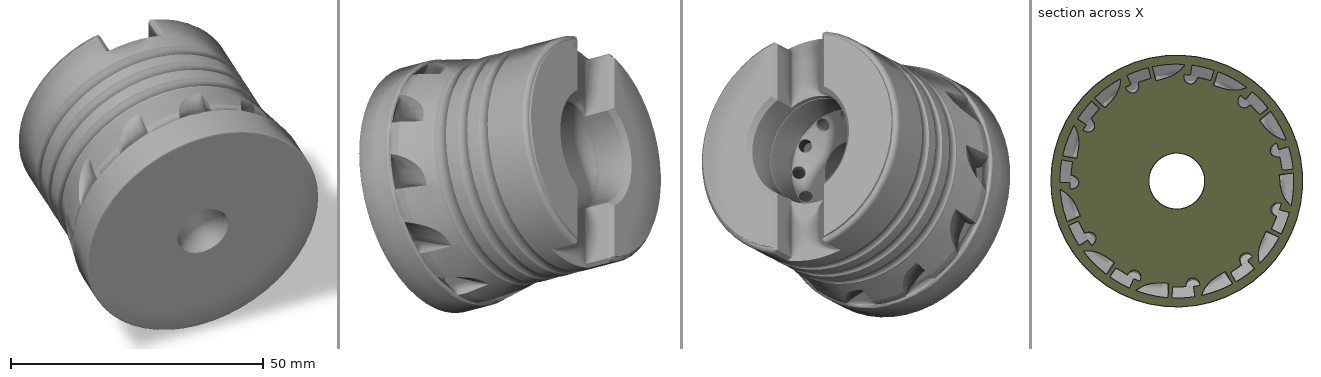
import cadquery as cq
import math


length = 40.0
flange_radius = 25.0
body_radius = 23.0
neck_radius = 24.5
flare_start = 23.05
flare_end = 30.65
flange_start = 32.65
flange_rim_fillet = 0.5
back_edge_fillet = 0.35

face_radius = 22.0
face_step = 0.5
face_fillet = body_radius - face_radius

groove_starts = (9.9, 14.9, 20.1)
groove_width = 2.6
groove_depth = 0.7

entry_radius = 11.1
entry_depth = 7.7
entry_chamfer = 1.0
bore_radius = 11.0
bore_depth = 15.6
through_radius = 5.5
seat_half_angle = 57.0

slot_half_width = 5.25
slot_depth = 6.3
slot_chamfer = 0.95

outlet_count = 11
pocket_angle = 6.0
pocket_start = 25.65
pocket_end = 35.5
pocket_floor_radius = 23.5
pocket_floor_width = 2.0
pocket_side_radius = 6.5
pocket_drop = 0.39
pocket_skew = 0.11

undercut_front = 31.9
undercut_floor_radius = pocket_floor_radius - pocket_drop * (undercut_front - pocket_start)
undercut_lip_radius = 24.35

feed_angle = 17.0
feed_radius_on_seat = 9.8
feed_diameter = 2.65

clearance = 2.5


def revolve(profile):
    """Turn a closed (x, radius) profile into a solid about the X axis."""
    return profile.close().revolve(360, (0, 0, 0), (1, 0, 0))


def repeat_around_axis(solid, first_angle):
    """Copies of a solid modelled on the -Y side, spread evenly about X."""
    copies = cq.Workplane()
    for index in range(outlet_count):
        angle = first_angle + index * 360 / outlet_count
        copies = copies.add(solid.rotate((0, 0, 0), (1, 0, 0), -angle))
    return copies.combine()


def make_body():
    bend = math.sqrt(0.5)
    profile = (
        cq.Workplane("XY")
        .lineTo(0, face_radius)
        .lineTo(face_step, face_radius)
        .threePointArc(
            (face_step + face_fillet * (1 - bend), face_radius + face_fillet * bend),
            (face_step + face_fillet, body_radius),
        )
    )
    for start in groove_starts:
        profile = (
            profile.lineTo(start, body_radius)
            .threePointArc(
                (start + groove_width / 2, body_radius - groove_depth),
                (start + groove_width, body_radius),
            )
        )
    profile = (
        profile.lineTo(flare_start, body_radius)
        .lineTo(flare_end, neck_radius)
        .lineTo(flange_start, neck_radius)
        .threePointArc(
            (
                flange_start + flange_rim_fillet * (1 - bend),
                flange_radius - flange_rim_fillet * (1 - bend),
            ),
            (flange_start + flange_rim_fillet, flange_radius),
        )
        .lineTo(length - back_edge_fillet, flange_radius)
        .threePointArc(
            (length - back_edge_fillet * (1 - bend), flange_radius - back_edge_fillet * (1 - bend)),
            (length, flange_radius - back_edge_fillet),
        )
        .lineTo(length, 0)
    )
    return revolve(profile)


def make_bore():
    seat_length = (bore_radius - through_radius) / math.tan(math.radians(seat_half_angle))
    return revolve(
        cq.Workplane("XY")
        .lineTo(0, entry_radius + entry_chamfer)
        .lineTo(entry_chamfer, entry_radius)
        .lineTo(entry_depth, entry_radius)
        .lineTo(entry_depth, bore_radius)
        .lineTo(bore_depth, bore_radius)
        .lineTo(bore_depth + seat_length, through_radius)
        .lineTo(length, through_radius)
        .lineTo(length, 0)
    )


def make_slot():
    """Slot along Z with chamfers on the face edges and on the outer edges of its walls."""
    chamfered_half_width = slot_half_width + slot_chamfer
    across = (
        cq.Workplane("XY")
        .moveTo(slot_depth, -slot_half_width)
        .lineTo(slot_depth, slot_half_width)
        .lineTo(slot_chamfer, slot_half_width)
        .lineTo(0, chamfered_half_width)
        .lineTo(0, -chamfered_half_width)
        .lineTo(slot_chamfer, -slot_half_width)
        .close()
        .extrude(flange_radius, both=True)
    )
    outer_corner = math.sqrt(body_radius**2 - chamfered_half_width**2)
    wall_top = outer_corner - slot_chamfer / math.sqrt(3)
    mouth = (
        cq.Workplane("YZ")
        .moveTo(-slot_half_width, wall_top)
        .lineTo(slot_half_width, wall_top)
        .lineTo(chamfered_half_width, outer_corner)
        .lineTo(chamfered_half_width, flange_radius)
        .lineTo(-chamfered_half_width, flange_radius)
        .lineTo(-chamfered_half_width, outer_corner)
        .close()
        .extrude(slot_depth)
    )
    return across.union(mouth).union(mouth.mirror("XY"))


def make_undercuts():
    """Sectors of a triangular ring running from each pocket wall to its feed hole."""
    sector = (
        cq.Workplane("XY")
        .moveTo(undercut_front, -undercut_floor_radius)
        .lineTo(flange_start, -undercut_lip_radius)
        .lineTo(pocket_end, -undercut_floor_radius)
        .close()
        .revolve(feed_angle - pocket_angle, (0, 0, 0), (-1, 0, 0))
    )
    return repeat_around_axis(sector.val(), pocket_angle)


def make_pockets():
    """Ramps with a radial wall, flat floor and rounded far side, roofed by a cone in the flange."""
    outer_y = -(flange_radius + 2 * clearance + pocket_side_radius)
    far_side = -(pocket_floor_width + pocket_side_radius)
    bend = math.sqrt(0.5)
    section = (
        cq.Workplane("YZ", origin=(pocket_start, 0, 0))
        .moveTo(outer_y, 0)
        .lineTo(-pocket_floor_radius, 0)
        .lineTo(-pocket_floor_radius, -pocket_floor_width)
        .threePointArc(
            (
                -(pocket_floor_radius + pocket_side_radius * (1 - bend)),
                -(pocket_floor_width + pocket_side_radius * bend),
            ),
            (-(pocket_floor_radius + pocket_side_radius), far_side),
        )
        .lineTo(outer_y, far_side)
        .close()
    )
    travel = pocket_end - pocket_start
    sweep = cq.Vector(travel, travel * pocket_drop, -travel * pocket_skew)
    ramp = cq.Workplane(cq.Solid.extrudeLinear(section.val(), [], sweep))
    room_below_flange = revolve(
        cq.Workplane("XY")
        .lineTo(0, -outer_y)
        .lineTo(flange_start, -outer_y)
        .lineTo(flange_start, undercut_lip_radius)
        .lineTo(pocket_end, undercut_floor_radius)
        .lineTo(pocket_end, 0)
    )
    return repeat_around_axis(ramp.intersect(room_below_flange).val(), pocket_angle)


def make_feed_holes():
    """Holes square to the conical seat, running outward into the undercuts."""
    tilt = math.radians(90 - seat_half_angle)
    seat_x = bore_depth + (bore_radius - feed_radius_on_seat) * math.tan(tilt)
    direction = cq.Vector(math.cos(tilt), -math.sin(tilt), 0)
    start = cq.Vector(seat_x, -feed_radius_on_seat, 0) - direction * clearance
    reach = clearance + (undercut_floor_radius - feed_radius_on_seat) / math.sin(tilt)
    hole = cq.Solid.makeCylinder(feed_diameter / 2, reach, start, direction)
    return repeat_around_axis(hole, feed_angle)


result = (
    make_body()
    .cut(make_bore())
    .cut(make_slot())
    .cut(make_pockets())
    .cut(make_undercuts())
    .cut(make_feed_holes())
)